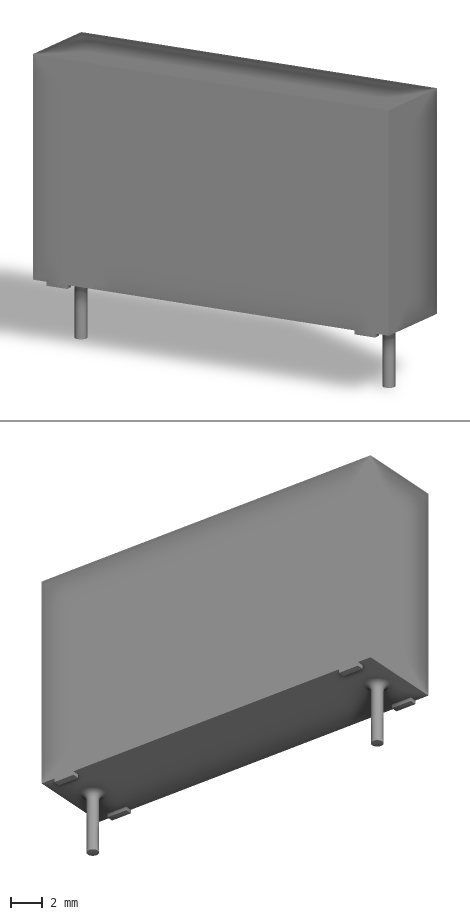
import cadquery as cq

case_length = 26.0
case_width = 6.0
overall_height = 19.0

lead_pitch = 22.5
lead_diameter = 0.8
lead_length = 4.26
lead_fillet_radius = 0.5

foot_length = 1.5
foot_width = 0.5
foot_height = 0.25

case_height = overall_height - lead_length
lead_radius = lead_diameter / 2
lead_positions = [-lead_pitch / 2, lead_pitch / 2]


def make_case():
    """Plain block with its underside at Z = 0."""
    return cq.Workplane("XY").box(case_length, case_width, case_height, centered=(True, True, False))


def make_lead(x):
    """Round lead, filleted into the case underside, revolved about its own axis."""
    half_section = (
        cq.Workplane("XZ")
        .lineTo(lead_radius + lead_fillet_radius, 0)
        .radiusArc((lead_radius, -lead_fillet_radius), -lead_fillet_radius)
        .lineTo(lead_radius, -lead_length)
        .lineTo(0, -lead_length)
        .close()
    )
    return half_section.revolve(360, (0, 0, 0), (0, 1, 0)).translate((x, 0, 0))


def make_foot(x, side):
    """Small pad under one long edge; side is -1 for the -Y edge and +1 for the +Y edge."""
    y = side * (case_width - foot_width) / 2
    pad = cq.Workplane("XY").box(foot_length, foot_width, foot_height, centered=(True, True, False))
    return pad.translate((x, y, -foot_height))


result = make_case()
for lead_x in lead_positions:
    result = result.union(make_lead(lead_x))
    for edge_side in (-1, 1):
        result = result.union(make_foot(lead_x, edge_side))